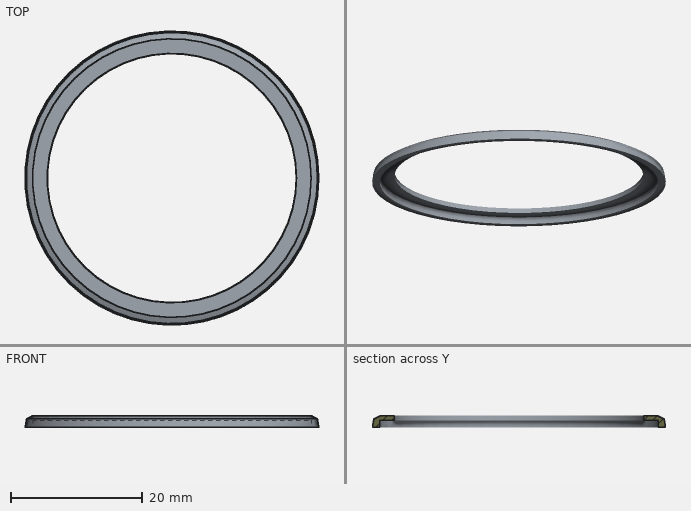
import cadquery as cq

base_diameter = 44.75
shoulder_diameter = 44.33
top_diameter = 42.4
bore_diameter = 37.9
height = 1.8
bevel_height = 0.5
lip_thickness = 0.7
rim_wall = 1.15

base_radius = base_diameter / 2
shoulder_radius = shoulder_diameter / 2
top_radius = top_diameter / 2
bore_radius = bore_diameter / 2
recess_radius = base_radius - rim_wall
shoulder_height = height - bevel_height
lip_underside = height - lip_thickness

section = (
    cq.Workplane("XZ")
    .moveTo(recess_radius, 0)
    .lineTo(base_radius, 0)
    .lineTo(shoulder_radius, shoulder_height)
    .lineTo(top_radius, height)
    .lineTo(bore_radius, height)
    .lineTo(bore_radius, lip_underside)
    .lineTo(recess_radius, lip_underside)
    .close()
)

result = section.revolve(360, (0, 0, 0), (0, 1, 0))